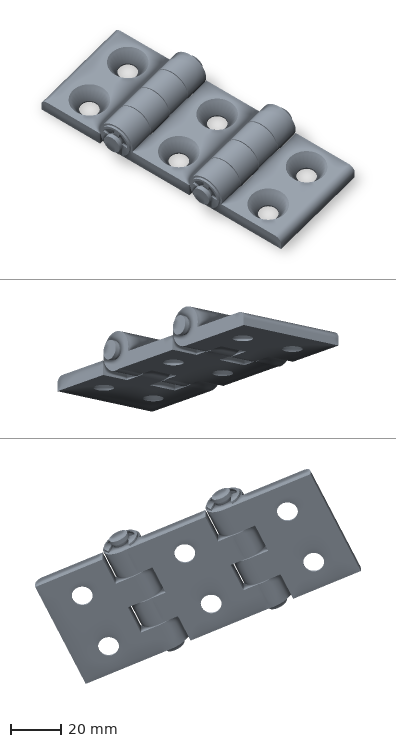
import cadquery as cq


length = 120.7
leaf_width = 47.9
plate_thickness = 6.0
end_radius = 3.0
middle_lift = 0.2

pin_spacing = 45.0
knuckle_radius = 8.1
knuckle_clearance = 0.1
knuckle_gap = 0.4
knuckle_count = 4

hole_diameter = 8.3
countersink_diameter = 16.5
countersink_angle = 75
hole_spacing = 25.0

pin_length = 54.2
pin_radius = 4.0
neck_radius = 3.5
neck_width = 1.3

clip_thickness = 1.0
clip_radius = 7.2
clip_window_radius = 6.2
clip_window_floor = 1.1
clip_tooth_width = 2.5
clip_mouth_inner = 6.8
clip_mouth_outer = 9.9
clip_turn = -9

front_face = -leaf_width / 2
back_face = leaf_width / 2
left_axis = -pin_spacing / 2
right_axis = pin_spacing / 2
axis_height = knuckle_radius
foot_length = knuckle_radius + knuckle_clearance
knuckle_pitch = (leaf_width + knuckle_gap) / knuckle_count
knuckle_width = knuckle_pitch - knuckle_gap


def box_between(xa, xb, y0, y1, z0, z1):
    """Box between two corners; xa and xb may come in either order."""
    box = cq.Workplane("XY").box(abs(xb - xa), y1 - y0, z1 - z0, centered=False)
    return box.translate((min(xa, xb), y0, z0))


def rod(radius, x, y0, y1):
    """Round bar around the hinge axis at x, from y0 to y1."""
    start = cq.Workplane("XZ", origin=(x, y0, axis_height))
    return start.circle(radius).extrude(y0 - y1)




def plate(xa, xb, bottom):
    return box_between(xa, xb, front_face, back_face, bottom, bottom + plate_thickness)


def cut_screw_holes(leaf, x, top):
    return (
        leaf.copyWorkplane(cq.Workplane("XY", origin=(x, 0, top)))
        .pushPoints([(0, -hole_spacing / 2), (0, hole_spacing / 2)])
        .cskHole(hole_diameter, countersink_diameter, countersink_angle)
    )


def knuckle(x, bottom, side, index):
    """Barrel with a foot that joins it to the plate on its side (-1 left, +1 right)."""
    y0 = front_face + index * knuckle_pitch
    y1 = y0 + knuckle_width
    barrel = rod(knuckle_radius, x, y0, y1)
    foot = box_between(x, x + side * foot_length, y0, y1, bottom, bottom + plate_thickness)
    return barrel.union(foot)


def add_knuckles(leaf, x, bottom, side, first):
    """Add every second knuckle, counted from the front, and bore them for the pin."""
    for index in range(first, knuckle_count, 2):
        leaf = leaf.union(knuckle(x, bottom, side, index))
    return leaf.cut(rod(pin_radius, x, front_face, back_face))


def end_leaf(side, first_knuckle):
    """Leaf at the left (-1) or right (+1) end, with its outer top edge rounded."""
    axis = side * pin_spacing / 2
    leaf = plate(axis + side * foot_length, side * length / 2, 0)
    outer_face = "<X" if side < 0 else ">X"
    leaf = leaf.faces(outer_face).edges(">Z").fillet(end_radius)
    leaf = cut_screw_holes(leaf, side * pin_spacing, plate_thickness)
    return add_knuckles(leaf, axis, 0, side, first_knuckle)


def middle_leaf():
    leaf = plate(left_axis + foot_length, right_axis - foot_length, middle_lift)
    leaf = cut_screw_holes(leaf, 0, middle_lift + plate_thickness)
    leaf = add_knuckles(leaf, left_axis, middle_lift, 1, 0)
    return add_knuckles(leaf, right_axis, middle_lift, -1, 1)




def hinge_pin(x):
    pin = rod(pin_radius, x, -pin_length / 2, pin_length / 2)
    for neck_start in (front_face - neck_width, back_face):
        neck_end = neck_start + neck_width
        groove = rod(pin_radius, x, neck_start, neck_end).cut(rod(neck_radius, x, neck_start, neck_end))
        pin = pin.cut(groove)
    return pin




def clip_disc(radius):
    return cq.Workplane("XZ").circle(radius).extrude(clip_thickness)


def clip_windows():
    """Two windows above the clip centre, parted by the upper tooth."""
    reach = clip_radius
    half_tooth = clip_tooth_width / 2
    below = box_between(-reach, reach, -clip_thickness, 0, -reach, clip_window_floor)
    tooth = box_between(-half_tooth, half_tooth, -clip_thickness, 0, 0, reach)
    return clip_disc(clip_window_radius).cut(below).cut(tooth)


def clip_mouth():
    """Opening that widens downward from the clip centre."""
    return (
        cq.Workplane("XZ")
        .moveTo(-clip_mouth_inner / 2, 0)
        .lineTo(clip_mouth_inner / 2, 0)
        .lineTo(clip_mouth_outer / 2, -clip_radius)
        .lineTo(-clip_mouth_outer / 2, -clip_radius)
        .close()
        .extrude(clip_thickness)
    )


def retaining_clip(x):
    """Clip around the front neck of a pin, lying on the front hinge face."""
    clip = clip_disc(clip_radius).cut(clip_disc(neck_radius))
    clip = clip.cut(clip_windows()).cut(clip_mouth())
    clip = clip.rotate((0, 0, 0), (0, -1, 0), clip_turn)
    return clip.translate((x, front_face, axis_height))



leaves = [end_leaf(-1, 1), middle_leaf(), end_leaf(1, 0)]
pins = [hinge_pin(x) for x in (left_axis, right_axis)]
clips = [retaining_clip(x) for x in (left_axis, right_axis)]
bodies = [body.solids().val() for body in leaves + pins + clips]

result = cq.Compound.makeCompound(bodies)